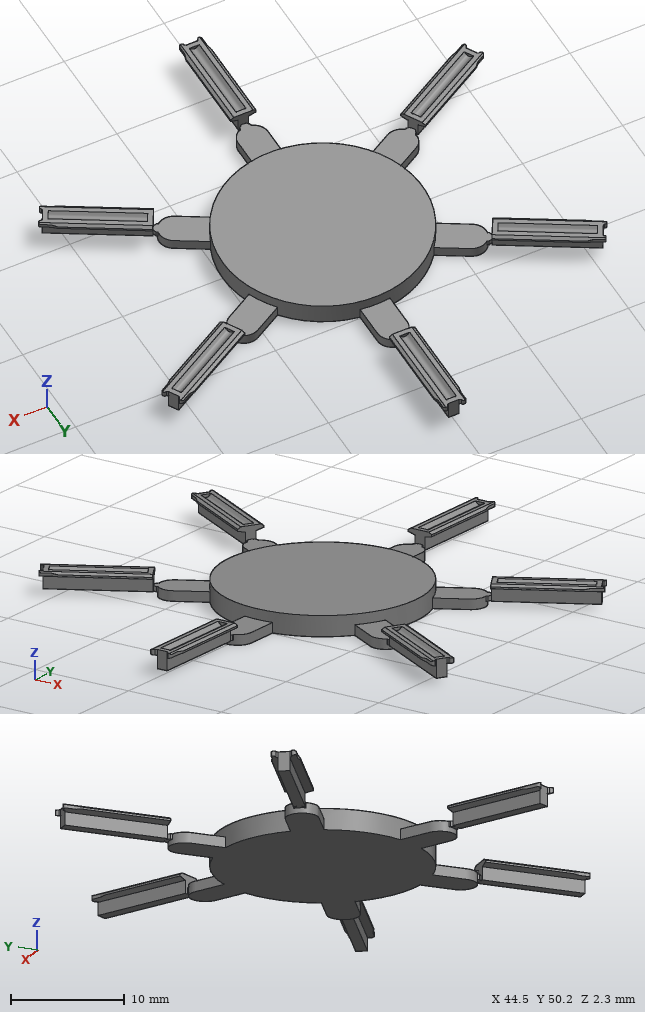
import cadquery as cq
import math

arm_count = 6
first_arm_angle = 30.0
arm_pitch = 360.0 / arm_count
hub_radius = 10.0
hub_height = 2.0
spoke_width = 3.0
spoke_height = 1.0
spoke_tip_radius = 14.65

bar_start = 15.0
stem_end = 24.8
tip_radius = 25.115
bar_bottom = 0.5
bar_top = 2.3

stem_half_width = 0.53
flange_half_width = 1.28
flange_top_half_width = 0.97
flange_edge_top = 2.11
flange_edge_bottom = 1.93
flange_root = 1.73

side_step_start = 23.4
side_step_end = 24.0
tooth_rounding = 0.22
tooth_center_offset = 0.91
tooth_base = tip_radius - tooth_rounding

groove_start = 15.5
groove_end = 24.3
groove_half_width = 0.5
groove_round_half_width = 0.25
groove_wall_angle = 40.0

neck_start = 13.5
neck_chamfer = 0.28


def radial_prism(section, start, end):
    """Extrude a (sideways, up) section outward along X between two radii."""
    plane = cq.Plane(origin=(start, 0, 0), xDir=(0, 1, 0), normal=(1, 0, 0))
    return section(cq.Workplane(plane)).extrude(end - start)


def flange_section(sketch):
    return (
        sketch.moveTo(-flange_top_half_width, bar_top)
        .lineTo(-flange_half_width, flange_edge_top)
        .lineTo(-flange_half_width, flange_edge_bottom)
        .lineTo(-stem_half_width, flange_root)
        .lineTo(stem_half_width, flange_root)
        .lineTo(flange_half_width, flange_edge_bottom)
        .lineTo(flange_half_width, flange_edge_top)
        .lineTo(flange_top_half_width, bar_top)
        .close()
    )


def groove_section(sketch):
    wall_angle = math.radians(groove_wall_angle)
    wall_depth = (groove_half_width - groove_round_half_width) * math.tan(wall_angle)
    round_radius = groove_round_half_width / math.sin(wall_angle)
    round_depth = round_radius * (1 - math.cos(wall_angle))
    wall_foot = bar_top - wall_depth
    return (
        sketch.moveTo(-groove_half_width, bar_top)
        .lineTo(-groove_round_half_width, wall_foot)
        .threePointArc((0, wall_foot - round_depth), (groove_round_half_width, wall_foot))
        .lineTo(groove_half_width, bar_top)
        .close()
    )


def flange_outline():
    """Plan of the flange: sides that step in towards two rounded end teeth."""
    tooth_inner = tooth_center_offset - tooth_rounding
    tooth_outer = tooth_center_offset + tooth_rounding
    return (
        cq.Workplane("XY")
        .moveTo(bar_start, -flange_half_width)
        .lineTo(side_step_start, -flange_half_width)
        .lineTo(side_step_end, -tooth_outer)
        .lineTo(tooth_base, -tooth_outer)
        .threePointArc((tip_radius, -tooth_center_offset), (tooth_base, -tooth_inner))
        .lineTo(stem_end, -stem_half_width)
        .lineTo(stem_end, stem_half_width)
        .lineTo(tooth_base, tooth_inner)
        .threePointArc((tip_radius, tooth_center_offset), (tooth_base, tooth_outer))
        .lineTo(side_step_end, tooth_outer)
        .lineTo(side_step_start, flange_half_width)
        .lineTo(bar_start, flange_half_width)
        .close()
        .extrude(bar_top)
    )


def make_bar():
    flange = radial_prism(flange_section, bar_start, tip_radius).intersect(flange_outline())
    stem = cq.Workplane("XY").box(
        stem_end - bar_start,
        2 * stem_half_width,
        bar_top - bar_bottom,
        centered=(False, True, False),
    )
    stem = stem.translate((bar_start, 0, bar_bottom))
    return flange.union(stem).cut(radial_prism(groove_section, groove_start, groove_end))


def make_neck():
    chamfer_start = bar_start - neck_chamfer
    end_half_width = stem_half_width - neck_chamfer
    return (
        cq.Workplane("XY")
        .workplane(offset=bar_bottom)
        .moveTo(neck_start, -stem_half_width)
        .lineTo(chamfer_start, -stem_half_width)
        .lineTo(bar_start, -end_half_width)
        .lineTo(bar_start, end_half_width)
        .lineTo(chamfer_start, stem_half_width)
        .lineTo(neck_start, stem_half_width)
        .close()
        .extrude(spoke_height - bar_bottom)
    )


def make_spoke():
    """Spoke from the hub axis to a semicircular outer end."""
    half_width = spoke_width / 2
    round_center = spoke_tip_radius - half_width
    return (
        cq.Workplane("XY")
        .moveTo(0, -half_width)
        .lineTo(round_center, -half_width)
        .threePointArc((spoke_tip_radius, 0), (round_center, half_width))
        .lineTo(0, half_width)
        .close()
        .extrude(spoke_height)
    )


arm = make_spoke().union(make_neck()).union(make_bar())

result = cq.Workplane("XY").circle(hub_radius).extrude(hub_height)
for index in range(arm_count):
    angle = first_arm_angle + index * arm_pitch
    result = result.union(arm.rotate((0, 0, 0), (0, 0, 1), angle))